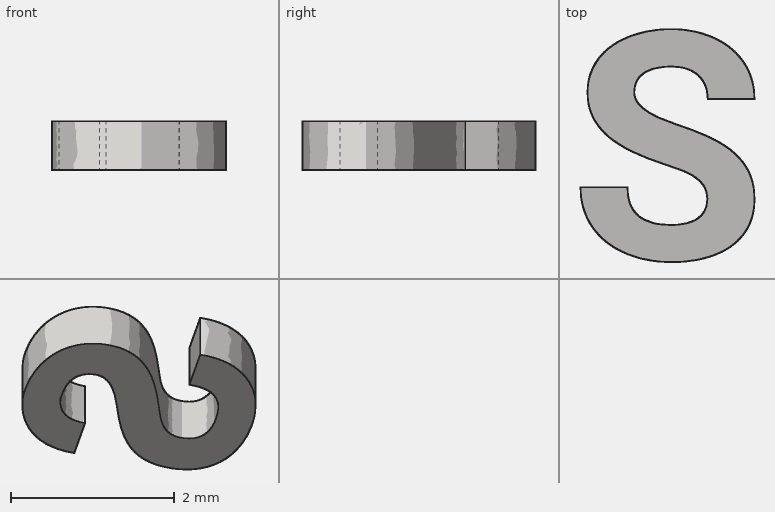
import cadquery as cq
import math

width = 2.13
height = 2.85
thickness = 0.6

lower_end_y = 0.918
upper_end_y = 1.992
lower_end_inner_x = 0.575
upper_end_inner_x = 1.555

bowl_center_x = 1.112
upper_bowl_left_x = 0.085
upper_bowl_y = 2.075
lower_bowl_y = 0.775
upper_counter_left_x = 0.658
upper_counter_top_y = 2.39
lower_counter_right_x = 1.55
lower_counter_bottom_y = 0.455

diagonal_upper = (1.168, 1.687)
diagonal_lower = (1.0, 1.205)
diagonal_slope = 18.5

UP = (0, 1)
DOWN = (0, -1)
LEFT = (-1, 0)
RIGHT = (1, 0)
DIAGONAL_RIGHT = (math.cos(math.radians(diagonal_slope)), -math.sin(math.radians(diagonal_slope)))
DIAGONAL_LEFT = (-DIAGONAL_RIGHT[0], -DIAGONAL_RIGHT[1])


def step(point, direction, distance):
    """Return the place reached by moving from point along direction."""
    return (point[0] + distance * direction[0], point[1] + distance * direction[1])


def smooth_edge(outline, start, start_direction, pieces):
    """Append cubic Bezier pieces that share a tangent wherever they meet.

    Each piece is (end point, travel direction there, start handle length, end handle length).
    """
    for end, end_direction, start_handle, end_handle in pieces:
        controls = [
            start,
            step(start, start_direction, start_handle),
            step(end, end_direction, -end_handle),
            end,
        ]
        outline = outline.bezier(controls)
        start = end
        start_direction = end_direction
    return outline


lower_end_outer = (0.0, lower_end_y)
lower_end_inner = (lower_end_inner_x, lower_end_y)
upper_end_outer = (width, upper_end_y)
upper_end_inner = (upper_end_inner_x, upper_end_y)

lower_bowl_pieces = [
    ((bowl_center_x, 0.0), RIGHT, 0.598, 0.593),
    ((width, lower_bowl_y), UP, 0.55, 0.545),
    (diagonal_upper, DIAGONAL_LEFT, 0.553, 0.507),
    ((upper_counter_left_x, upper_bowl_y), UP, 0.22, 0.202),
    ((bowl_center_x, upper_counter_top_y), RIGHT, 0.25, 0.225),
    (upper_end_inner, DOWN, 0.27, 0.26),
]

upper_bowl_pieces = [
    ((bowl_center_x, height), LEFT, 0.553, 0.54),
    ((upper_bowl_left_x, upper_bowl_y), DOWN, 0.54, 0.51),
    (diagonal_lower, DIAGONAL_RIGHT, 0.502, 0.473),
    ((lower_counter_right_x, lower_bowl_y), DOWN, 0.276, 0.268),
    ((bowl_center_x, lower_counter_bottom_y), LEFT, 0.26, 0.208),
    (lower_end_inner, UP, 0.333, 0.342),
]

outline = cq.Workplane("XY").moveTo(*lower_end_outer)
outline = smooth_edge(outline, lower_end_outer, DOWN, lower_bowl_pieces)
outline = outline.lineTo(*upper_end_outer)
outline = smooth_edge(outline, upper_end_outer, UP, upper_bowl_pieces)

result = outline.close().extrude(thickness)